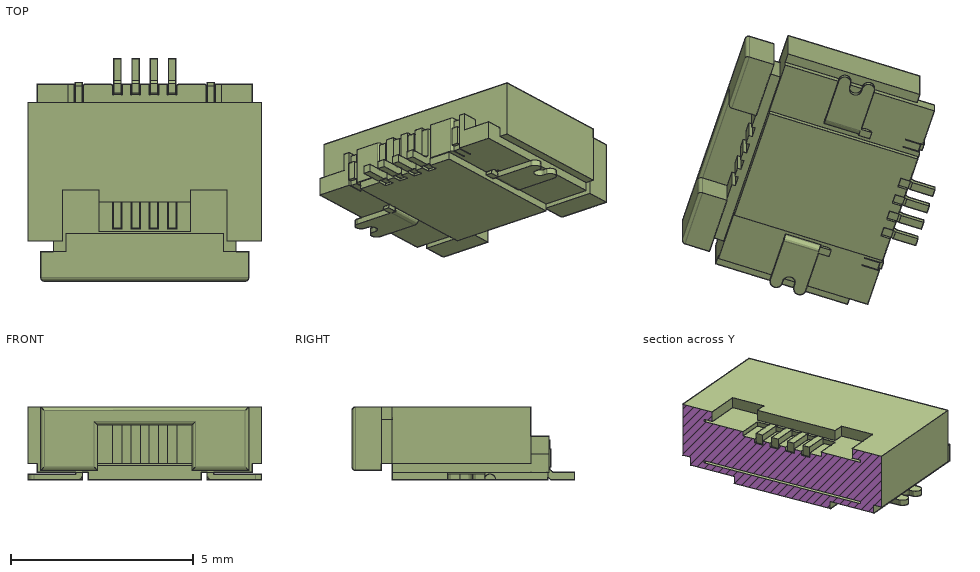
import cadquery as cq


HEIGHT = 2.0
COVER_HALF_WIDTH = 3.2
COVER_DEPTH = 3.8
COVER_BOTTOM = 0.45
BASE_HALF_WIDTH = 2.95
BASE_BACK = 4.3
BASE_BOTTOM = 0.21
LEDGE_TOP = 0.71
REAR_HALF_WIDTH = 2.1
REAR_TOP = 1.2
REAR_CORNER_RADIUS = 0.06
FOOT_HALF_WIDTH = 1.55
FOOT_BACK = 4.27

POCKET_HALF_WIDTH = 2.25
POCKET_BACK = 1.4
POCKET_FLOOR = 1.65
WINDOW_HALF_WIDTH = 1.25
WINDOW_FRONT = 0.26
WINDOW_BACK = 1.066
WINDOW_FLOOR = 1.52
GAP_TOP = 1.7
GAP_DEPTH = 0.3

SLIDER_FRONT = -1.1
SLIDER_HALF_WIDTH = 2.85
SLIDER_BOTTOM = 0.26
BAR_BACK = -0.29
LIP_HALF_WIDTH = 2.15
LIP_BACK = 0.21
PLATE_HALF_WIDTH = 2.5
ENTRY_HALF_WIDTH = 1.29
ENTRY_TOP = 1.5
SLIDER_RADIUS = 0.1
GROOVE_DEPTH = 0.1
UNDERCUT_BOTTOM = 0.4
UNDERCUT_DEPTH = 0.5

CONTACT_COUNT = 4
CONTACT_PITCH = 0.5
CONTACT_WIDTH = 0.21
SLOT_WIDTH = 0.26
CONTACT_FRONT = 0.36
SLOT_FRONT = 0.33
CONTACT_TOP = 1.68
CONTACT_SLOT_FLOOR = 1.4
LEAD_BACK = 5.0
LEAD_THICKNESS = 0.215
POST_FRONT = 4.01
POST_BACK = 4.32
POST_TOP = 1.1
POST_BEVEL = 0.04
BEND_OUTER = 0.06
BEND_INNER = 0.08

PIN_OFFSET = 1.805
PIN_WIDTH = 0.2
PIN_SLOT_WIDTH = 0.24
PIN_TOP = 1.1
PIN_BACK = 4.25
NUB_BACK = 4.35
NUB_BOTTOM = 0.35
NUB_TOP = 0.85

TAB_THICKNESS = 0.16
TAB_TIP = COVER_HALF_WIDTH
TAB_INNER = 1.7
TAB_STEM_OUTER = 1.89
TAB_STEM_RADIUS = 0.14
TAB_FRONT = 1.52
NOSE_RADIUS = 0.17
VALLEY_RADIUS = 0.17
FINGER_SIDE = 0.08
RIB_CENTER = 2.68
RIB_RADIUS = 0.16

OVERLAP = 0.02

contact_positions = [(i - (CONTACT_COUNT - 1) / 2) * CONTACT_PITCH for i in range(CONTACT_COUNT)]


def block(x_range, y_range, z_range):
    """Box given by its limits along each axis."""
    (x0, x1), (y0, y1), (z0, z1) = x_range, y_range, z_range
    return cq.Workplane("XY").box(x1 - x0, y1 - y0, z1 - z0, centered=False).translate((x0, y0, z0))


def centered_block(width, y_range, z_range, x=0):
    """Box of the given width, centred on x."""
    return block((x - width / 2, x + width / 2), y_range, z_range)


def symmetric_block(half_width, y_range, z_range):
    """Box centred on the symmetry plane."""
    return centered_block(2 * half_width, y_range, z_range)


def both_sides(shape):
    """The shape together with its mirror image across the symmetry plane."""
    return shape.union(shape.mirror("YZ"))


def make_rear_wall():
    """Raised wall behind the cover, slotted for the retaining pins and the contact posts."""
    y_range = (COVER_DEPTH, BASE_BACK)
    wall = symmetric_block(REAR_HALF_WIDTH, y_range, (BASE_BOTTOM, REAR_TOP))
    pin_slot = centered_block(PIN_SLOT_WIDTH, y_range, (BASE_BOTTOM, REAR_TOP), PIN_OFFSET)
    wall = wall.cut(both_sides(pin_slot))
    for x in contact_positions:
        wall = wall.cut(centered_block(SLOT_WIDTH, (POST_FRONT, BASE_BACK), (BASE_BOTTOM, REAR_TOP), x))
    mid_height = (BASE_BOTTOM + REAR_TOP) / 2
    inner_pin_edge = PIN_OFFSET - PIN_SLOT_WIDTH / 2
    outer_slot_edge = contact_positions[-1] + SLOT_WIDTH / 2
    for x in (inner_pin_edge, outer_slot_edge):
        for side in (-1, 1):
            corner = cq.selectors.NearestToPointSelector((side * x, BASE_BACK, mid_height))
            wall = wall.edges(corner).fillet(REAR_CORNER_RADIUS)
    return wall


def make_housing():
    """Cover, base with its low side ledges, rear wall and the foot underneath."""
    cover = symmetric_block(COVER_HALF_WIDTH, (0, COVER_DEPTH), (COVER_BOTTOM, HEIGHT))
    base = symmetric_block(BASE_HALF_WIDTH, (0, COVER_DEPTH), (BASE_BOTTOM, LEDGE_TOP))
    ledge = block(
        (REAR_HALF_WIDTH, BASE_HALF_WIDTH), (COVER_DEPTH, BASE_BACK), (BASE_BOTTOM, LEDGE_TOP)
    )
    foot = symmetric_block(FOOT_HALF_WIDTH, (0, FOOT_BACK), (0, BASE_BOTTOM))
    for x in contact_positions:
        foot = foot.cut(centered_block(SLOT_WIDTH, (POST_FRONT, FOOT_BACK), (0, BASE_BOTTOM), x))
    return cover.union(base).union(both_sides(ledge)).union(make_rear_wall()).union(foot)


def cut_recess(housing):
    """Open the cover at the front and leave a tongue and the cover edge clear of the floor."""
    opening = symmetric_block(POCKET_HALF_WIDTH, (0, POCKET_BACK), (POCKET_FLOOR, HEIGHT))
    tongue = symmetric_block(WINDOW_HALF_WIDTH, (WINDOW_BACK, POCKET_BACK), (POCKET_FLOOR, HEIGHT))
    window = symmetric_block(WINDOW_HALF_WIDTH, (WINDOW_FRONT, WINDOW_BACK), (WINDOW_FLOOR, HEIGHT))
    gap = symmetric_block(PLATE_HALF_WIDTH, (0, POCKET_BACK + GAP_DEPTH), (POCKET_FLOOR, GAP_TOP))
    undercut = symmetric_block(PLATE_HALF_WIDTH, (0, UNDERCUT_DEPTH), (UNDERCUT_BOTTOM, COVER_BOTTOM))
    return housing.cut(opening.cut(tongue)).cut(window).cut(gap).cut(undercut)


def make_slider():
    """Front bar with the cable entry, its top lip and the plate that joins it to the housing."""
    bar = symmetric_block(SLIDER_HALF_WIDTH, (SLIDER_FRONT, BAR_BACK), (SLIDER_BOTTOM, HEIGHT))
    entry = symmetric_block(ENTRY_HALF_WIDTH, (SLIDER_FRONT, BAR_BACK), (SLIDER_BOTTOM, ENTRY_TOP))
    bar = bar.cut(entry).faces("<Y").edges().fillet(SLIDER_RADIUS)
    lip = symmetric_block(LIP_HALF_WIDTH, (BAR_BACK, LIP_BACK), (POCKET_FLOOR, HEIGHT))
    plate = symmetric_block(PLATE_HALF_WIDTH, (BAR_BACK, 0), (COVER_BOTTOM, POCKET_FLOOR))
    for x in contact_positions:
        groove_y = (BAR_BACK, BAR_BACK + GROOVE_DEPTH)
        plate = plate.cut(centered_block(SLOT_WIDTH, groove_y, (COVER_BOTTOM, ENTRY_TOP), x))
    return bar.union(lip).union(plate)


def make_contact(x):
    """Lead behind the housing, bent up into a post with a bevelled top."""
    profile = [
        (LEAD_BACK, 0),
        (LEAD_BACK, LEAD_THICKNESS),
        (POST_BACK + BEND_INNER, LEAD_THICKNESS),
        (POST_BACK, LEAD_THICKNESS + BEND_INNER),
        (POST_BACK, POST_TOP),
        (POST_FRONT + POST_BEVEL, POST_TOP),
        (POST_FRONT - OVERLAP, POST_TOP - POST_BEVEL),
        (POST_FRONT - OVERLAP, BEND_OUTER),
        (POST_BACK - BEND_OUTER / 2, BEND_OUTER),
        (POST_BACK + BEND_OUTER / 2, 0),
    ]
    start = cq.Workplane("YZ", origin=(x - CONTACT_WIDTH / 2, 0, 0))
    return start.polyline(profile).close().extrude(CONTACT_WIDTH)


def add_contacts(body):
    """Fit each contact: a bar in the window, loose in its slot, and a lead at the back."""
    bar_end = POCKET_BACK + GAP_DEPTH
    for x in contact_positions:
        slot = centered_block(SLOT_WIDTH, (SLOT_FRONT, WINDOW_BACK), (CONTACT_SLOT_FLOOR, WINDOW_FLOOR), x)
        bar = centered_block(
            CONTACT_WIDTH, (CONTACT_FRONT, bar_end), (CONTACT_SLOT_FLOOR - OVERLAP, CONTACT_TOP), x
        )
        body = body.cut(slot).union(bar).union(make_contact(x))
    return body


def make_retaining_pin():
    """Pin standing in a rear slot, with a nub reaching out of the back of the housing."""
    pin = centered_block(PIN_WIDTH, (COVER_DEPTH - OVERLAP, PIN_BACK), (BASE_BOTTOM, PIN_TOP), PIN_OFFSET)
    nub = centered_block(PIN_WIDTH, (PIN_BACK, NUB_BACK), (NUB_BOTTOM, NUB_TOP), PIN_OFFSET)
    return pin.union(nub)


def make_solder_tab():
    """Flat tab with two round-nosed fingers, hung from the housing by a stem with a round bend."""
    nose_x = TAB_TIP - NOSE_RADIUS
    valley_x = nose_x - FINGER_SIDE
    tab_back = TAB_FRONT + 4 * NOSE_RADIUS + 2 * VALLEY_RADIUS
    middle = (TAB_FRONT + tab_back) / 2
    plate = (
        cq.Workplane("XY")
        .moveTo(TAB_INNER, tab_back)
        .lineTo(nose_x, tab_back)
        .threePointArc((TAB_TIP, tab_back - NOSE_RADIUS), (nose_x, middle + VALLEY_RADIUS))
        .lineTo(valley_x, middle + VALLEY_RADIUS)
        .threePointArc((valley_x - VALLEY_RADIUS, middle), (valley_x, middle - VALLEY_RADIUS))
        .lineTo(nose_x, middle - VALLEY_RADIUS)
        .threePointArc((TAB_TIP, TAB_FRONT + NOSE_RADIUS), (nose_x, TAB_FRONT))
        .lineTo(TAB_INNER, TAB_FRONT)
        .close()
        .extrude(TAB_THICKNESS)
    )
    stem = block((TAB_INNER, TAB_STEM_OUTER), (TAB_FRONT, tab_back), (0, BASE_BOTTOM + OVERLAP))
    tab = plate.union(stem).edges("<X and <Z").fillet(TAB_STEM_RADIUS)
    rib = (
        cq.Workplane("YZ", origin=(TAB_INNER, 0, 0))
        .moveTo(RIB_CENTER - RIB_RADIUS, 0)
        .threePointArc((RIB_CENTER, RIB_RADIUS), (RIB_CENTER + RIB_RADIUS, 0))
        .close()
        .extrude(TAB_STEM_OUTER - TAB_INNER)
    )
    return tab.union(rib)


body = cut_recess(make_housing()).union(make_slider())
body = add_contacts(body)
body = body.union(both_sides(make_retaining_pin()))
result = body.union(both_sides(make_solder_tab()))